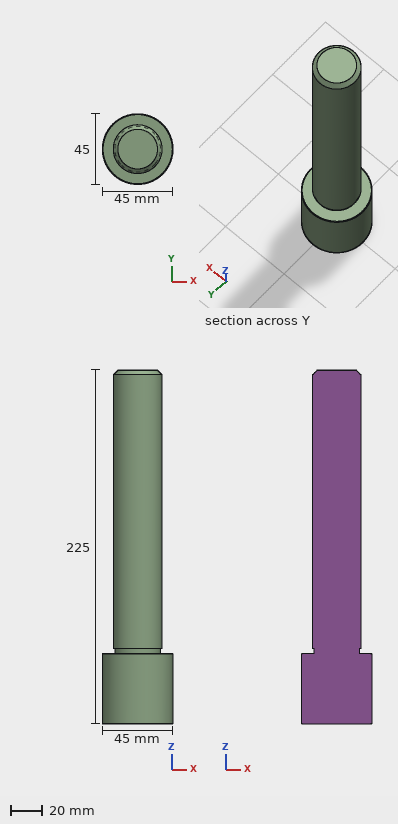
import cadquery as cq

total_length = 225.0
head_diameter = 45.0
head_length = 45.0
head_chamfer = 0.5

shank_diameter = 31.0
tip_chamfer = 3.0
groove_diameter = 29.0
groove_width = 3.0


def cylinder(diameter, bottom, top):
    """Upright cylinder on the Z axis between two heights."""
    return cq.Workplane("XY").workplane(offset=bottom).circle(diameter / 2).extrude(top - bottom)


groove_top = head_length + groove_width

head = cylinder(head_diameter, 0, head_length).edges().chamfer(head_chamfer)
groove = cylinder(groove_diameter, head_length, groove_top)
shank = cylinder(shank_diameter, groove_top, total_length).faces(">Z").edges().chamfer(tip_chamfer)

result = head.union(groove).union(shank)